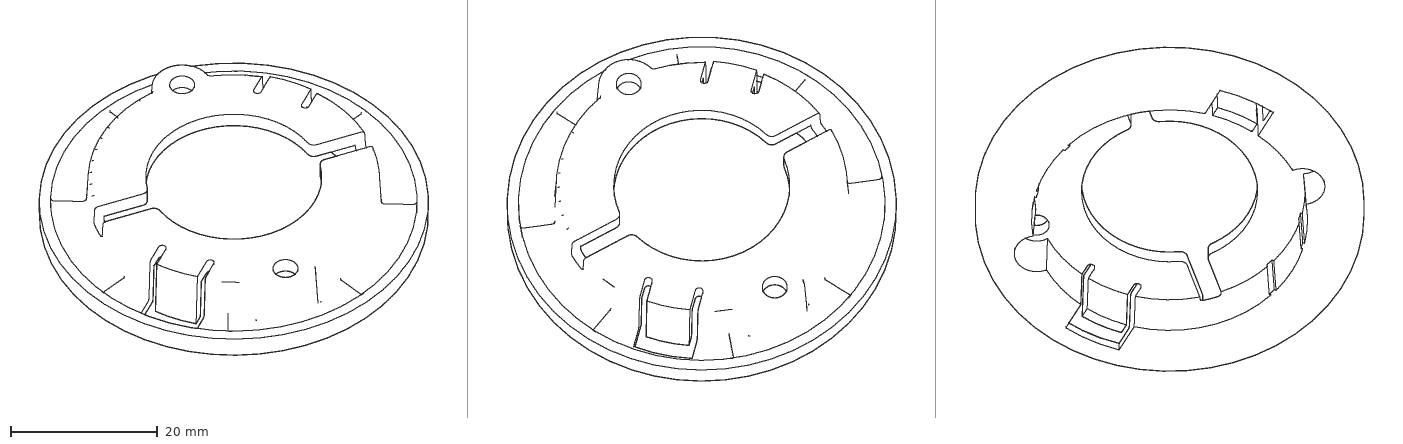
import cadquery as cq
import math

rim_radius = 26.5
rim_height = 4.0
rim_bottom_fillet = 1.45
groove_radius = 24.95
wall = 1.5

total_height = 8.7
hub_top_radius = 19.8
draft_angle = 3.0
plate_thickness = 2.2
bore_radius = 12.0
ear_offset = 19.0
ear_top_radius = 4.1
screw_hole_radius = 1.7
small_fillet = 0.5
ear_corner_fillet = 0.55

rib_count = 8
rib_width = 1.0
rib_height = 1.95

notch_width = 3.0
notch_depth = 3.0
notch_mouth_fillet = 1.0

tab_angles = (135, 315)
tab_width = 6.05
slot_width = 1.05
slot_inner_end = 15.9
window_radius = 23.15

inner_rib_angles = (45, 225)
inner_rib_offset = 4.45
inner_rib_depth = 0.25

tolerance = 0.005
draft_slope = math.tan(math.radians(draft_angle))
plate_bottom = total_height - plate_thickness
ear_positions = [(-ear_offset, 0), (ear_offset, 0)]


def drafted_disc(center, top_radius, top_z):
    """Round block from Z = 0 to top_z that widens downward by the draft."""
    bottom_radius = top_radius + top_z * draft_slope
    cone = cq.Solid.makeCone(bottom_radius, top_radius, top_z)
    return cq.Workplane(cone).translate((center[0], center[1], 0))


def hub_block(inset, top_z):
    """Drafted hub with its ears, offset inward by inset."""
    spread = (total_height - top_z) * draft_slope
    block = drafted_disc((0, 0), hub_top_radius - inset + spread, top_z)
    for position in ear_positions:
        block = block.union(drafted_disc(position, ear_top_radius - inset + spread, top_z))
    return block


def flange():
    """Dished disc with a rounded lower edge."""
    disc = cq.Workplane("XY").circle(rim_radius).extrude(rim_height)
    disc = disc.faces("<Z").edges().fillet(rim_bottom_fillet)
    groove = cq.Workplane("XY").workplane(offset=wall).circle(groove_radius).extrude(rim_height)
    return disc.cut(groove)


def rib(angle):
    """Radial rib with a rounded top, from inside the hub wall to inside the rim."""
    start = hub_top_radius - wall / 2
    end = (groove_radius + rim_radius) / 2
    root = wall / 2
    half_width = rib_width / 2
    top = wall + rib_height
    bar = (
        cq.Workplane("YZ")
        .workplane(offset=start)
        .moveTo(-half_width, root)
        .lineTo(-half_width, top - half_width)
        .threePointArc((0, top), (half_width, top - half_width))
        .lineTo(half_width, root)
        .close()
        .extrude(end - start)
    )
    return bar.rotate((0, 0, 0), (0, 0, 1), angle)


def outer_hub():
    """Solid hub with rounded ear corners and a rounded top edge."""
    hub = hub_block(0, total_height)
    ear_reach = ear_top_radius + wall
    corners = cq.selectors.BoxSelector(
        (-hub_top_radius, -ear_reach, wall), (hub_top_radius, ear_reach, plate_bottom)
    )
    hub = hub.edges(corners).edges("not #Z").fillet(ear_corner_fillet)
    return hub.faces(">Z").edges().fillet(small_fillet)


def snap_tab_cut():
    """Window and two slots around a tab that points along +X."""
    opening_width = tab_width + 2 * slot_width
    opening = (
        cq.Workplane("XY")
        .box(rim_radius, opening_width, total_height, centered=(False, True, False))
        .translate((hub_top_radius - wall, 0, 0))
        .intersect(cq.Workplane("XY").circle(window_radius).extrude(total_height))
        .cut(drafted_disc((0, 0), hub_top_radius, total_height))
    )
    slot_length = hub_top_radius + wall - slot_inner_end
    slot_y = (tab_width + slot_width) / 2
    slots = (
        cq.Workplane("XY")
        .pushPoints([(slot_inner_end + slot_length / 2, side * slot_y) for side in (-1, 1)])
        .slot2D(slot_length, slot_width)
        .extrude(total_height)
    )
    return opening.union(slots)


def sharp_tab():
    """Tab along +X whose drafted outer face runs up to a sharp top edge."""
    return (
        cq.Workplane("XY")
        .box(rim_radius, tab_width, total_height, centered=(False, True, False))
        .translate((slot_inner_end, 0, 0))
        .intersect(drafted_disc((0, 0), hub_top_radius, total_height))
        .cut(hub_block(wall, plate_bottom))
    )


def fillet_groove(body):
    """Round the concave edges where the floor, ribs, hub and rim meet."""
    groove_space = cq.selectors.BoxSelector(
        (-rim_radius, -rim_radius, wall - tolerance),
        (rim_radius, rim_radius, wall + rib_height + tolerance),
        boundingbox=True,
    )
    concave = []
    for edge in body.edges(groove_space).vals():
        box = edge.BoundingBox()
        on_floor = box.zmax < wall + tolerance
        along_rib = edge.geomType() == "LINE" and box.zlen < tolerance
        if on_floor or not along_rib:
            concave.append(edge)
    return body.newObject(concave).fillet(small_fillet)


def inner_ribs():
    """Pair of low ribs on the inner hub wall, either side of the +X direction."""
    wall_radius = hub_top_radius - wall
    ribs = (
        cq.Workplane("XY")
        .pushPoints([(wall_radius, side * inner_rib_offset) for side in (-1, 1)])
        .rect(2 * wall, rib_width)
        .extrude(plate_bottom)
    )
    clearance = hub_block(wall + inner_rib_depth, plate_bottom)
    return ribs.cut(clearance).intersect(hub_block(wall / 2, plate_bottom))


def notches():
    """Slots through the hub top on the Y axis, with rounded lower corners."""
    floor = total_height - notch_depth
    slot = cq.Workplane("XY").box(
        notch_width, 2 * groove_radius, notch_depth, centered=(True, True, False)
    )
    return slot.edges("|Y and <Z").fillet(small_fillet).translate((0, 0, floor))


body = flange().union(outer_hub())
rib_pitch = 360 / rib_count
for index in range(rib_count):
    body = body.union(rib((index + 0.5) * rib_pitch))
body = fillet_groove(body)

body = body.cut(hub_block(wall, plate_bottom))

for angle in inner_rib_angles:
    body = body.union(inner_ribs().rotate((0, 0, 0), (0, 0, 1), angle))

body = body.cut(cq.Workplane("XY").circle(bore_radius).extrude(total_height))
body = body.cut(
    cq.Workplane("XY").pushPoints(ear_positions).circle(screw_hole_radius).extrude(total_height)
)

body = body.cut(notches())
mouth = cq.selectors.BoxSelector(
    (-notch_width, -bore_radius, plate_bottom), (notch_width, bore_radius, total_height)
)
body = body.edges(mouth).edges("|Z").fillet(notch_mouth_fillet)

for angle in tab_angles:
    body = body.cut(snap_tab_cut().rotate((0, 0, 0), (0, 0, 1), angle))
    body = body.union(sharp_tab().rotate((0, 0, 0), (0, 0, 1), angle))

result = body